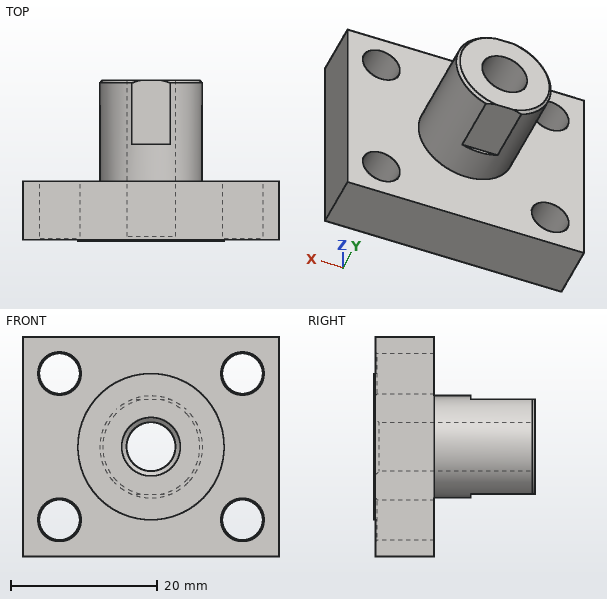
import cadquery as cq

plate_width = 35.0
plate_height = 30.0
plate_thickness = 8.0

pad_diameter = 20.0
pad_height = 0.2

spigot_diameter = 14.0
spigot_length = 13.8
spigot_chamfer = 0.4
flat_length = 8.8
across_flats = 13.0

bore_diameter = 6.65
bore_mouth_diameter = 8.0

mount_diameter = 5.5
mount_mouth_diameter = 5.9
mount_spacing_x = 25.0
mount_spacing_z = 20.0

plate_front = -plate_thickness / 2
plate_back = plate_thickness / 2
pad_front = plate_front - pad_height
spigot_end = plate_back + spigot_length


def cylinder_y(diameter, y_start, y_end, x=0, z=0):
    """Cylinder along Y between two Y positions."""
    solid = cq.Solid.makeCylinder(
        diameter / 2, y_end - y_start, cq.Vector(x, y_start, z), cq.Vector(0, 1, 0)
    )
    return cq.Workplane(obj=solid)


def countersunk_hole(diameter, mouth_diameter, y_start, y_end, x=0, z=0):
    """Cutter for a hole along Y with a 45 degree countersink at y_start."""
    countersink_depth = (mouth_diameter - diameter) / 2
    countersink = cq.Solid.makeCone(
        mouth_diameter / 2, diameter / 2, countersink_depth,
        cq.Vector(x, y_start, z), cq.Vector(0, 1, 0),
    )
    return cylinder_y(diameter, y_start, y_end, x, z).union(cq.Workplane(obj=countersink))


def make_spigot():
    """Spigot with a chamfered end and wrench flats facing +Z and -Z."""
    spigot = cylinder_y(spigot_diameter, plate_back, spigot_end)
    spigot = spigot.faces(">Y").edges().chamfer(spigot_chamfer)
    for side in (-1, 1):
        flat_cutter = cq.Workplane().box(spigot_diameter, flat_length, spigot_diameter).translate(
            (0, spigot_end - flat_length / 2, side * (across_flats + spigot_diameter) / 2)
        )
        spigot = spigot.cut(flat_cutter)
    return spigot


plate = cq.Workplane().box(plate_width, plate_thickness, plate_height)
pad = cylinder_y(pad_diameter, pad_front, plate_front)
result = plate.union(pad).union(make_spigot())

result = result.cut(countersunk_hole(bore_diameter, bore_mouth_diameter, pad_front, spigot_end))

for side_x in (-1, 1):
    for side_z in (-1, 1):
        mount_hole = countersunk_hole(
            mount_diameter, mount_mouth_diameter, plate_front, plate_back,
            side_x * mount_spacing_x / 2, side_z * mount_spacing_z / 2,
        )
        result = result.cut(mount_hole)